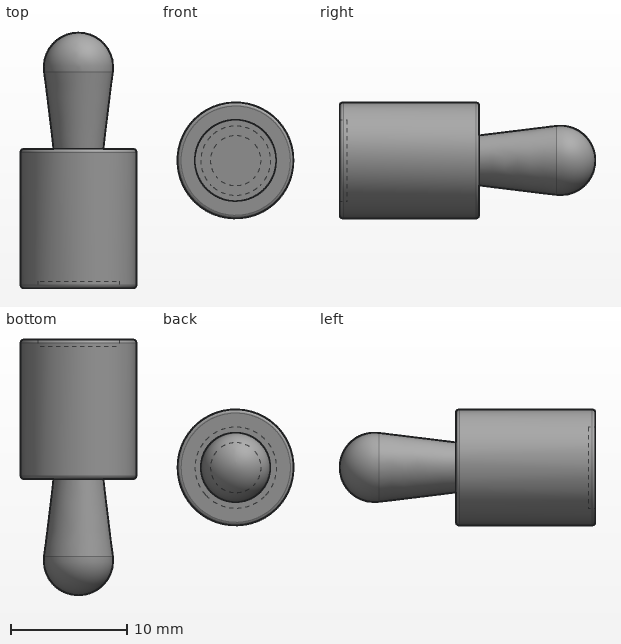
import cadquery as cq
import math

body_diameter = 10.0
body_length = 12.0
edge_fillet = 0.3

recess_diameter = 7.0
recess_depth = 0.6

pin_length = 10.0
ball_radius = 3.0
taper_angle = math.radians(7.0)


def make_body():
    body = cq.Workplane("XZ").circle(body_diameter / 2).extrude(-body_length)
    return body.edges().fillet(edge_fillet)


def make_pin():
    """Revolve the cone and its tangent ball end about the Y axis."""
    tip_y = body_length + pin_length
    ball_center_y = tip_y - ball_radius
    tangent_radius = ball_radius * math.cos(taper_angle)
    tangent_y = ball_center_y - ball_radius * math.sin(taper_angle)
    root_radius = tangent_radius - (tangent_y - body_length) * math.tan(taper_angle)
    arc_middle = ball_radius * math.sqrt(0.5)

    return (
        cq.Workplane("ZY")
        .moveTo(0, body_length)
        .lineTo(root_radius, body_length)
        .lineTo(tangent_radius, tangent_y)
        .threePointArc((arc_middle, ball_center_y + arc_middle), (0, tip_y))
        .close()
        .revolve(360, (0, 0, 0), (0, 1, 0))
    )


def make_recess():
    return cq.Workplane("XZ").circle(recess_diameter / 2).extrude(-recess_depth)


result = make_body().union(make_pin()).cut(make_recess())